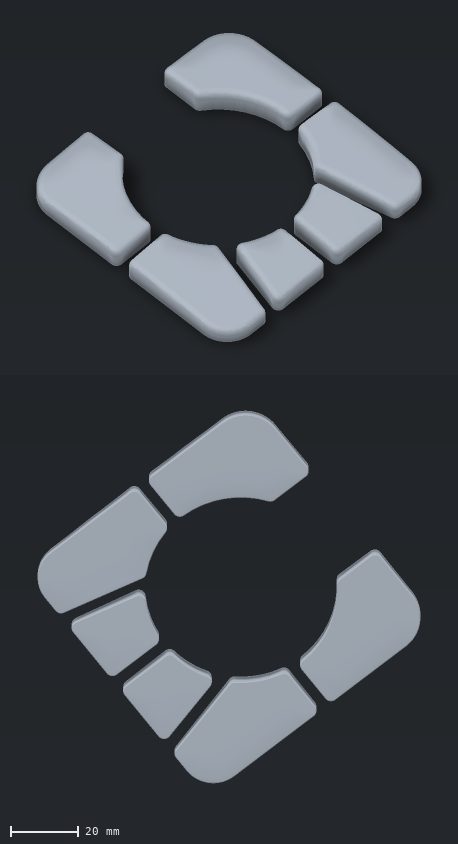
import cadquery as cq
import math

DEPTH = 88.4
LEFT_X = -39.0
WIDTH = 86.4
HEIGHT = 8.0
BORE_RADIUS = 28.55

EDGE_RADIUS = 2.1
BASE_CHAMFER = 0.3
GAP = 4.0
SMALL_GAP = 4.3
DOME_RADIUS = 512.7

SPLIT_X = 3.1
OPEN_HALF_WIDTH = 15.6
SLANT_ANGLE = 13.7
SLANT_END_Y = 25.3

LEFT_CORNER_RADIUS = 11.2
RIGHT_CORNER_RADIUS = 10.1

RIGHT_X = LEFT_X + WIDTH
BACK_Y = DEPTH / 2
SLANT = math.tan(math.radians(SLANT_ANGLE))
SLANT_HALF_GAP_Y = GAP / 2 / math.cos(math.radians(SLANT_ANGLE))

DOME_RIM_RADIUS = BORE_RADIUS + EDGE_RADIUS
DOME_CENTRE_Z = HEIGHT - math.sqrt(DOME_RADIUS**2 - DOME_RIM_RADIUS**2)


def slant_y(x, side):
    """Y of a wall of the slanted gap: side +1 is the back wall, -1 the front wall."""
    return SLANT_END_Y - (RIGHT_X - x) * SLANT + side * SLANT_HALF_GAP_Y


def key(outline, outer_radius=None):
    """Domed key around the bore; outer_radius rounds the first corner of the outline widely."""
    bore = cq.Workplane("XY").circle(BORE_RADIUS).extrude(2 * HEIGHT)
    dome = cq.Workplane("XY").sphere(DOME_RADIUS).translate((0, 0, DOME_CENTRE_Z))
    blank = cq.Workplane("XY").polyline(outline).close().extrude(2 * HEIGHT).cut(bore)

    seams = []
    if outer_radius:
        outer_corner = cq.selectors.NearestToPointSelector((*outline[0], HEIGHT))
        blank = blank.edges(outer_corner).fillet(outer_radius)
    blank = blank.intersect(dome)
    if outer_radius:
        seams = blank.faces(outer_corner).edges("|Z").vals()

    sharp_edges = blank.edges("|Z").filter(lambda edge: not any(edge.isSame(seam) for seam in seams))
    rounded = sharp_edges.add(blank.faces(">Z").edges()).fillet(EDGE_RADIUS)
    return rounded.faces("<Z").chamfer(BASE_CHAMFER)


def left_corner_key():
    inner_x = SPLIT_X - GAP / 2
    outline = [
        (LEFT_X, BACK_Y),
        (inner_x, BACK_Y),
        (inner_x, OPEN_HALF_WIDTH),
        (LEFT_X, OPEN_HALF_WIDTH),
    ]
    return key(outline, LEFT_CORNER_RADIUS)


def right_corner_key():
    inner_x = SPLIT_X + GAP / 2
    outline = [
        (RIGHT_X, BACK_Y),
        (RIGHT_X, slant_y(RIGHT_X, 1)),
        (inner_x, slant_y(inner_x, 1)),
        (inner_x, BACK_Y),
    ]
    return key(outline, RIGHT_CORNER_RADIUS)


def small_key():
    inner_x = SPLIT_X + GAP / 2
    outline = [
        (RIGHT_X, SMALL_GAP / 2),
        (RIGHT_X, slant_y(RIGHT_X, -1)),
        (inner_x, slant_y(inner_x, -1)),
        (inner_x, SMALL_GAP / 2),
    ]
    return key(outline)


bodies = []
for back_key in (left_corner_key(), right_corner_key(), small_key()):
    bodies.append(back_key.val())
    bodies.append(back_key.mirror("XZ").val())

result = cq.Compound.makeCompound(bodies)